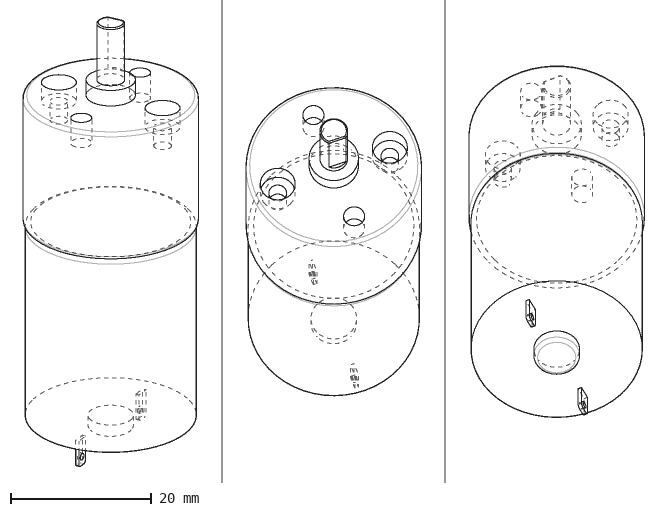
import cadquery as cq

terminal_length = 4.2
overall_height = 66.3
shaft_top = overall_height - terminal_length

motor_diameter = 24.4
gearbox_diameter = 25.0
motor_height = 30.55
gearbox_bottom = motor_height
gearbox_top = 50.6
gearbox_edge_radius = 0.5
motor_edge_radius = 0.8

boss_diameter = 7.0
boss_height = 2.45
shaft_diameter = 4.0
shaft_chamfer = 0.2
flat_distance = 1.5
flat_start = boss_height + 1.0

hole_offset = 8.5
plain_hole_diameter = 3.0
plain_hole_depth = 4.0
screw_hole_diameter = 2.5
screw_hole_depth = 6.0
counterbore_diameter = 5.0
counterbore_depth = 3.0

cap_diameter = 6.5
cap_height = 2.0
cap_edge_radius = 0.5
terminal_offset = 8.7
terminal_width = 2.0
terminal_thickness = 0.5
terminal_corner_radius = 0.5
terminal_hole_diameter = 1.0
terminal_hole_drop = 2.85


def cylinder(diameter, bottom, top):
    """Cylinder on the Z axis between two heights."""
    return cq.Workplane("XY").workplane(offset=bottom).circle(diameter / 2).extrude(top - bottom)


def make_body():
    """Motor can and gearbox, separated by the groove between their rounded edges."""
    motor = cylinder(motor_diameter, 0, motor_height).faces(">Z").edges().fillet(motor_edge_radius)
    gearbox = cylinder(gearbox_diameter, gearbox_bottom, gearbox_top)
    gearbox = gearbox.faces("<Z or >Z").edges().fillet(gearbox_edge_radius)
    return motor.union(gearbox)


def make_shaft():
    """D-shaft with its flat on the +Y side, standing on a round boss."""
    boss = cylinder(boss_diameter, gearbox_top, gearbox_top + boss_height)
    shaft = cylinder(shaft_diameter, gearbox_top, shaft_top)
    flat_bottom = gearbox_top + flat_start
    flat_cut = (
        cq.Workplane("XY")
        .workplane(offset=flat_bottom)
        .center(0, flat_distance + shaft_diameter / 2)
        .rect(2 * shaft_diameter, shaft_diameter)
        .extrude(shaft_top - flat_bottom)
    )
    shaft = shaft.cut(flat_cut).faces(">Z").edges().chamfer(shaft_chamfer)
    return boss.union(shaft)


def drill_mounting_holes(body):
    """Two counterbored holes along X and two plain holes along Y."""
    face = cq.Workplane("XY").workplane(offset=gearbox_top)
    screw_points = [(-hole_offset, 0), (hole_offset, 0)]
    plain_points = [(0, -hole_offset), (0, hole_offset)]
    screw_holes = face.pushPoints(screw_points).circle(screw_hole_diameter / 2).extrude(-screw_hole_depth)
    counterbores = face.pushPoints(screw_points).circle(counterbore_diameter / 2).extrude(-counterbore_depth)
    plain_holes = face.pushPoints(plain_points).circle(plain_hole_diameter / 2).extrude(-plain_hole_depth)
    return body.cut(screw_holes).cut(counterbores).cut(plain_holes)


def make_cap():
    """Rear bearing cap with a rounded lower edge."""
    return cylinder(cap_diameter, -cap_height, 0).faces("<Z").edges().fillet(cap_edge_radius)


def make_terminal(y):
    """Flat solder tab with rounded lower corners and a wire hole."""
    tab = (
        cq.Workplane("XY")
        .center(0, y)
        .rect(terminal_thickness, terminal_width)
        .extrude(-terminal_length)
        .faces("<Z")
        .edges("|X")
        .fillet(terminal_corner_radius)
    )
    wire_hole = (
        cq.Workplane("YZ")
        .center(y, -terminal_hole_drop)
        .circle(terminal_hole_diameter / 2)
        .extrude(terminal_thickness, both=True)
    )
    return tab.cut(wire_hole)


result = drill_mounting_holes(make_body()).union(make_shaft()).union(make_cap())
for side in (-1, 1):
    result = result.union(make_terminal(side * terminal_offset))